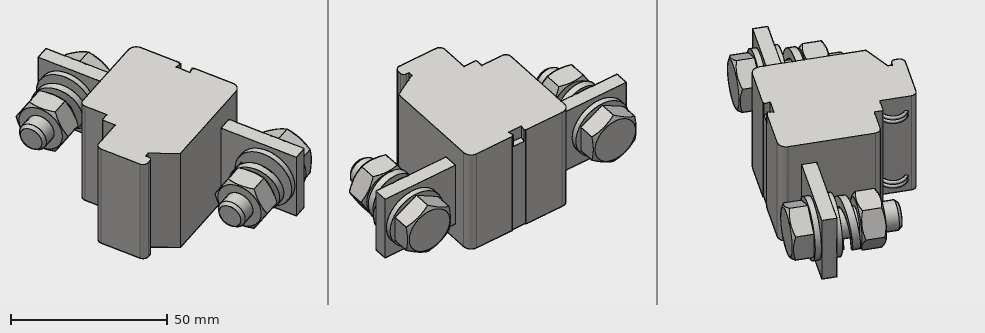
import cadquery as cq
import math


block_width = 40.0
block_height = 40.0
block_back = 49.1
block_front = 15.4
back_corner_radius = 3.0
front_corner_radius = 2.0
step_x = -9.9
step_y = 12.4
step_radius = 0.5
foot_left = -5.0
foot_right = 13.4
hook_x = 11.0
hook_lip_y = 4.4
hook_lip_radius = 1.3
hook_top_y = 6.0
slope_top_y = 11.0

seat_width = 5.4
seat_depth = 0.3
dovetail_mouth = 4.0
dovetail_floor = 5.1
dovetail_depth = 2.4
dovetail_height = 4.8

coil_center_x = -2.6
coil_center_y = 7.5
coil_outer_radius = 5.1
coil_wire_diameter = 1.2
coil_pitch = 1.5
coil_heights = (12.8, -14.7)

bar_length = 96.0
bar_height = 25.0
bar_thickness = 5.0
bar_front = 36.7
bar_center_z = -1.0
bar_back = bar_front + bar_thickness

hex_sides = 6
head_turn = 90.0
nut_turn = 0.0
bolt_spacing = 73.9
washer_diameter = 21.0
washer_thickness = 2.0
head_flats = 17.1
head_back = 50.7
shank_diameter = 10.0
shank_end = 13.5
shank_chamfer_length = 1.2
shank_chamfer_depth = 1.0
nut_flats = 16.8
nut_back = 27.7
nut_thickness = 8.2
hex_chamfer_circle = 16.1
hex_chamfer_angle = 30.0
head_bottom = bar_back + washer_thickness

spring_inner_diameter = 11.0
spring_outer_diameter = 17.9
spring_thickness = 2.6
spring_pitch = 4.9
spring_start_y = 33.8
left_spring_angle = -112.0
right_spring_angle = left_spring_angle - 90.0


def make_block():
    """Extruded housing with a stepped front, a foot and a rail hook."""
    half = block_width / 2
    r_back = back_corner_radius
    r_front = front_corner_radius
    profile = (
        cq.Workplane("XY", origin=(0, 0, -block_height / 2))
        .moveTo(-half + r_back, block_back)
        .lineTo(half - r_back, block_back)
        .radiusArc((half, block_back - r_back), r_back)
        .lineTo(half, slope_top_y)
        .lineTo(hook_x, hook_top_y)
        .lineTo(hook_x, hook_lip_y)
        .lineTo(foot_right - hook_lip_radius, hook_lip_y)
        .radiusArc((foot_right, hook_lip_y - hook_lip_radius), hook_lip_radius)
        .lineTo(foot_right, r_front)
        .radiusArc((foot_right - r_front, 0), r_front)
        .lineTo(foot_left + r_front, 0)
        .radiusArc((foot_left, r_front), r_front)
        .lineTo(foot_left, step_y)
        .lineTo(step_x + step_radius, step_y)
        .radiusArc((step_x, step_y + step_radius), step_radius)
        .lineTo(step_x, block_front)
        .lineTo(-half + r_front, block_front)
        .radiusArc((-half, block_front + r_front), r_front)
        .lineTo(-half, block_back - r_back)
        .radiusArc((-half + r_back, block_back), r_back)
        .close()
    )
    return profile.extrude(block_height)


def make_label_seat():
    """Shallow full-height recess with a dovetail pocket open at the top."""
    recess = cq.Workplane("XY").box(seat_width, 2 * seat_depth, block_height)
    recess = recess.translate((0, block_back, 0))
    floor_y = block_back - dovetail_depth
    dovetail = (
        cq.Workplane("XY", origin=(0, 0, block_height / 2))
        .moveTo(-dovetail_floor / 2, floor_y)
        .lineTo(dovetail_floor / 2, floor_y)
        .lineTo(dovetail_mouth / 2, block_back)
        .lineTo(-dovetail_mouth / 2, block_back)
        .close()
        .extrude(-dovetail_height)
    )
    return recess.union(dovetail)


def make_coil_ring(z):
    """Ring of round wire lying in a plane of constant Z."""
    wire_radius = coil_wire_diameter / 2
    ring = cq.Solid.makeTorus(coil_outer_radius - wire_radius, wire_radius)
    return cq.Workplane(ring.translate(cq.Vector(coil_center_x, coil_center_y, z)))


def make_cylinder(x, back, front, diameter):
    """Cylinder along Y, between two Y positions on a bolt axis."""
    plane = cq.Workplane("XZ", origin=(x, back, bar_center_z))
    return plane.circle(diameter / 2).extrude(back - front)


def make_hex(x, back, front, flats, turn, chamfer_front):
    """Hexagon along Y with its corners turned off by a cone at one or both ends."""
    across_corners = flats / math.cos(math.pi / hex_sides)
    corner_depth = (across_corners - hex_chamfer_circle) / 2
    chamfer_length = corner_depth * math.tan(math.radians(hex_chamfer_angle))
    prism = (
        cq.Workplane("XZ", origin=(x, back, bar_center_z))
        .transformed(rotate=(0, 0, turn))
        .polygon(hex_sides, across_corners)
        .extrude(back - front)
    )
    envelope = make_cylinder(x, back, front, across_corners)
    envelope = envelope.faces(">Y").chamfer(chamfer_length, corner_depth)
    if chamfer_front:
        envelope = envelope.faces("<Y").chamfer(chamfer_length, corner_depth)
    return prism.intersect(envelope)


def make_spring(x, start_angle):
    """Helical spring washer winding forward from the washer to the nut."""
    inner = spring_inner_diameter / 2
    width = (spring_outer_diameter - spring_inner_diameter) / 2
    mean_radius = inner + width / 2
    path = cq.Wire.makeHelix(spring_pitch, spring_pitch, mean_radius)
    section = cq.Workplane("XZ", origin=(mean_radius, 0, 0)).rect(width, spring_thickness)
    spring = section.sweep(cq.Workplane(path), isFrenet=True)
    spring = spring.rotate((0, 0, 0), (0, 0, 1), start_angle)
    spring = spring.rotate((0, 0, 0), (1, 0, 0), 90)
    return spring.translate((x, spring_start_y, bar_center_z))


def make_bolted_joint(x, spring_angle):
    """Bolt, two flat washers, spring washer and nut on one axis."""
    shank = make_cylinder(x, head_back, shank_end, shank_diameter)
    shank = shank.faces("<Y").chamfer(shank_chamfer_length, shank_chamfer_depth)
    head = make_hex(x, head_back, head_bottom, head_flats, head_turn, False)
    washers = make_cylinder(x, head_bottom, bar_front - washer_thickness, washer_diameter)
    nut = make_hex(x, nut_back, nut_back - nut_thickness, nut_flats, nut_turn, True)
    spring = make_spring(x, spring_angle)
    return head.union(shank).union(washers).union(nut).union(spring)


bar = cq.Workplane("XY").box(bar_length, bar_thickness, bar_height)
bar = bar.translate((0, bar_front + bar_thickness / 2, bar_center_z))

result = make_block().cut(make_label_seat()).union(bar)
result = result.union(make_bolted_joint(-bolt_spacing / 2, left_spring_angle))
result = result.union(make_bolted_joint(bolt_spacing / 2, right_spring_angle))
for coil_z in coil_heights:
    for side in (-1, 1):
        result = result.union(make_coil_ring(coil_z + side * coil_pitch / 2))